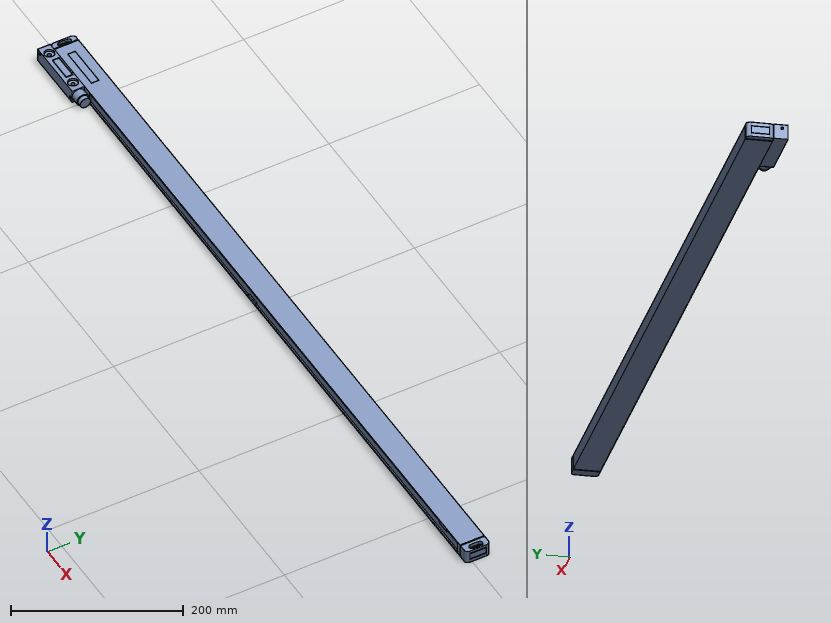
import cadquery as cq

length = 975.0
total_depth = 49.0
mid_height = 9.0
height = 2 * mid_height

rail_depth = 32.0
rail_front = total_depth - rail_depth
rail_center_y = rail_front + rail_depth / 2

channel_start = 93.0
channel_end = 955.0
channel_depth = 2.0
lip_height = 2.0

tab_length = 18.0
tab_height = 3.0
upper_tab_start = 912.0
lower_tab_start = 464.0

label_start = 24.0
label_length = 56.0
label_width = 10.0
label_depth = 0.5
label_center_y = 31.0

left_cap_length = 9.0
right_cap_length = 15.0
parting_width = 1.0
parting_depth = 0.5

corner_radius = 5.0

end_recess_width = 21.0
end_recess_height = 9.0
end_recess_depth = 1.0
slot_inset = 6.0
outer_slot_length = 18.0
outer_slot_width = 7.0
outer_slot_depth = (height - end_recess_height) / 2
inner_slot_length = 14.0
inner_slot_width = 4.0
inner_slot_depth = 7.0

block_length = 81.0
block_center_y = rail_front / 2
screw_margin = 13.0
counterbore_diameter = 13.0
counterbore_depth = 3.0
screw_hole_diameter = 5.0
screw_hole_depth = 10.0

pocket_length = 32.0
pocket_front = 6.0
pocket_back = 15.0
pocket_depth = 1.0

side_hole_diameter = 3.0
side_hole_depth = 1.0
upper_hole_z = 14.0
lower_hole_z = height - upper_hole_z
end_hole_y = 7.0
front_hole_margin = 5.0

nut_diameter = 17.0
nut_length = 11.0
stub_diameter = 14.0
stub_length = 6.0


def box(x0, x1, y0, y1, z0, z1):
    """Axis-aligned box between two opposite corners."""
    return cq.Workplane("XY").box(x1 - x0, y1 - y0, z1 - z0, centered=False).translate((x0, y0, z0))


def make_bar():
    """Plain rail with its four upright corners rounded."""
    return box(0, length, rail_front, total_depth, 0, height).edges("|Z").fillet(corner_radius)


def make_channel():
    """Channel cutter, notched where the lip tabs stay."""
    back = rail_front + channel_depth
    channel_top = height - lip_height
    channel = box(channel_start, channel_end, rail_front, back, lip_height, channel_top)
    upper_tab = box(upper_tab_start, upper_tab_start + tab_length, rail_front, back,
                    channel_top - tab_height, channel_top)
    lower_tab = box(lower_tab_start, lower_tab_start + tab_length, rail_front, back,
                    lip_height, lip_height + tab_height)
    return channel.cut(upper_tab).cut(lower_tab)


def parting_groove(x_start):
    """Ring that cuts a fine groove around the rail."""
    x_end = x_start + parting_width
    ring = box(x_start, x_end, rail_front, total_depth, 0, height)
    core = box(x_start, x_end, rail_front + parting_depth, total_depth - parting_depth,
               parting_depth, height - parting_depth)
    return ring.cut(core)


def cap_slot(x_center, slot_length, slot_width, depth):
    """Round-ended slot across a cap, sunk from the top."""
    return (
        cq.Workplane("XY", origin=(x_center, rail_center_y, height))
        .slot2D(slot_length, slot_width, 90)
        .extrude(-depth)
    )


def end_recess(x_start):
    """Shallow recess in the end face of a cap."""
    return (
        cq.Workplane("YZ", origin=(x_start, rail_center_y, mid_height))
        .rect(end_recess_width, end_recess_height)
        .extrude(end_recess_depth)
    )


def make_rail():
    rail = make_bar()
    rail = rail.cut(make_channel())
    rail = rail.cut(box(label_start, label_start + label_length,
                        label_center_y - label_width / 2, label_center_y + label_width / 2,
                        height - label_depth, height))
    for x_start in (left_cap_length, length - right_cap_length):
        rail = rail.cut(parting_groove(x_start))
    for x_center in (slot_inset, length - slot_inset):
        rail = rail.cut(cap_slot(x_center, outer_slot_length, outer_slot_width, outer_slot_depth))
        rail = rail.cut(cap_slot(x_center, inner_slot_length, inner_slot_width, inner_slot_depth))
    for x_start in (0, length - end_recess_depth):
        rail = rail.cut(end_recess(x_start))
    return rail


def screw_hole(x_center):
    """Blind counterbored hole in the top of the block."""
    top = cq.Workplane("XY", origin=(x_center, block_center_y, height))
    counterbore = top.circle(counterbore_diameter / 2).extrude(-counterbore_depth)
    hole = top.circle(screw_hole_diameter / 2).extrude(-screw_hole_depth)
    return counterbore.union(hole)


def side_hole(plane, center, depth):
    """Small blind hole sunk from an upright face of the block."""
    return cq.Workplane(plane, origin=center).circle(side_hole_diameter / 2).extrude(depth)


def make_gland():
    """Round nut and smaller stub on the end of the block."""
    base = cq.Workplane("YZ", origin=(block_length, block_center_y, mid_height))
    nut = base.circle(nut_diameter / 2).extrude(nut_length)
    stub = base.circle(stub_diameter / 2).extrude(nut_length + stub_length)
    return nut.union(stub)


def make_block():
    block = box(0, block_length, 0, rail_front, 0, height)
    for x_center in (screw_margin, block_length - screw_margin):
        block = block.cut(screw_hole(x_center))
    pocket_start = (block_length - pocket_length) / 2
    pocket_end = pocket_start + pocket_length
    block = block.cut(box(pocket_start, pocket_end, pocket_front, pocket_back,
                          height - pocket_depth, height))
    block = block.cut(side_hole("YZ", (0, end_hole_y, upper_hole_z), side_hole_depth))
    block = block.cut(side_hole("XZ", (front_hole_margin, 0, upper_hole_z), -side_hole_depth))
    block = block.cut(side_hole("XZ", (block_length - front_hole_margin, 0, lower_hole_z), -side_hole_depth))
    return block.union(make_gland())


rail = make_rail()
block = make_block()
result = cq.Compound.makeCompound([rail.val(), block.val()])